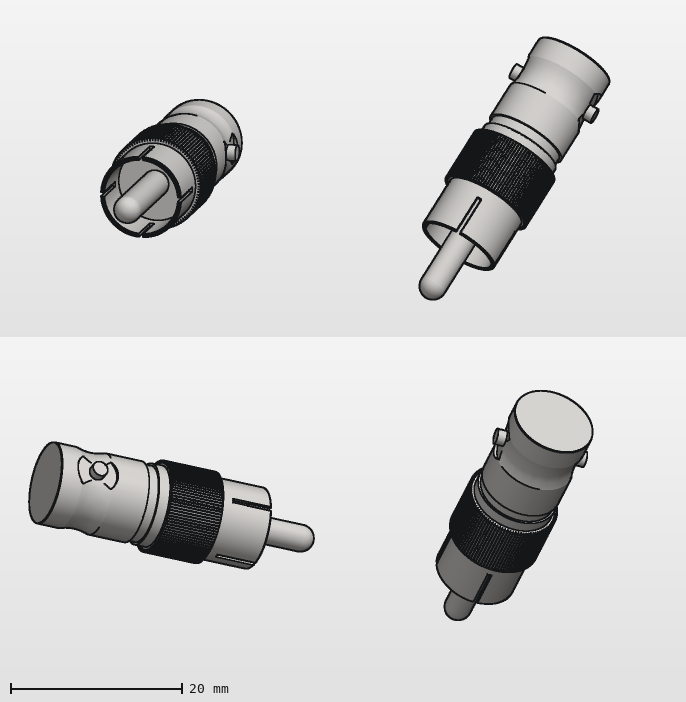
import cadquery as cq
import math

total_length = 34.01
lug_span = 11.07
knurl_diameter = 10.97

body_radius = 4.87
neck_radius = 4.58
rear_chamfer_length = 0.12
rear_chamfer_drop = 0.05
sleeve_chamfer = 0.12

waist_start = 2.78
waist_end = 6.6
waist_radius = 4.55
waist_center = (waist_start + waist_end) / 2
waist_half_length = (waist_end - waist_start) / 2

lug_count = 2
lug_station = 4.64
lug_radius = 0.93
lug_flat_radius = 2.55
lug_flat_distance = 4.45

neck_start = 11.12
neck_end = 12.42
knurl_start = 13.77
knurl_end = 20.3
knurl_radius = knurl_diameter / 2
groove_count = 100
groove_width = 0.08
groove_depth = 0.3

sleeve_end = 26.67
sleeve_inner_radius = 4.45
sleeve_floor = knurl_end
slot_start = 21.77
slot_width = 0.52
slot_count = 4

pin_radius = 1.6
pin_straight_end = total_length - pin_radius


def section(station):
    """Workplane square to the axis at a station, with its normal towards the pin tip."""
    return cq.Workplane("XZ", origin=(0, -station, 0))


def around_axis(solid, count):
    """Equally spaced copies of a solid, turned about the Y axis."""
    copies = cq.Workplane("XY")
    for index in range(count):
        turned = solid.rotate((0, 0, 0), (0, 1, 0), index * 360 / count)
        copies = copies.add(turned.vals())
    return cq.Workplane(obj=cq.Compound.makeCompound(copies.vals()))


def make_body():
    """Turned outside shape from the rear face to the sleeve end, solid inside."""
    waist_drop = body_radius - waist_radius
    arc_radius = (waist_half_length**2 + waist_drop**2) / (2 * waist_drop)
    mid_offset = waist_half_length / 2
    mid_radius = waist_radius + arc_radius - math.sqrt(arc_radius**2 - mid_offset**2)
    profile = (
        cq.Workplane("XY")
        .moveTo(0, 0)
        .lineTo(body_radius - rear_chamfer_drop, 0)
        .lineTo(body_radius, -rear_chamfer_length)
        .lineTo(body_radius, -waist_start)
        .threePointArc((mid_radius, mid_offset - waist_center), (waist_radius, -waist_center))
        .threePointArc((mid_radius, -mid_offset - waist_center), (body_radius, -waist_end))
        .lineTo(body_radius, -neck_start)
        .lineTo(neck_radius, -neck_start)
        .lineTo(neck_radius, -neck_end)
        .lineTo(body_radius, -neck_end)
        .lineTo(body_radius, sleeve_chamfer - sleeve_end)
        .lineTo(body_radius - sleeve_chamfer, -sleeve_end)
        .lineTo(0, -sleeve_end)
        .close()
    )
    return profile.revolve(360, (0, 0, 0), (0, 1, 0))


def make_knurl():
    """Ring with straight narrow V grooves all around."""
    length = knurl_end - knurl_start
    ring = section(knurl_start).circle(knurl_radius).extrude(length)
    groove = (
        section(knurl_start)
        .moveTo(-groove_width / 2, knurl_radius)
        .lineTo(0, knurl_radius - groove_depth)
        .lineTo(groove_width / 2, knurl_radius)
        .close()
        .extrude(length)
    )
    return ring.cut(around_axis(groove, groove_count))


def make_sleeve_bore():
    """Plug cavity with a chamfered mouth."""
    profile = (
        cq.Workplane("XY")
        .moveTo(0, -sleeve_floor)
        .lineTo(sleeve_inner_radius, -sleeve_floor)
        .lineTo(sleeve_inner_radius, sleeve_chamfer - sleeve_end)
        .lineTo(sleeve_inner_radius + sleeve_chamfer, -sleeve_end)
        .lineTo(0, -sleeve_end)
        .close()
    )
    return profile.revolve(360, (0, 0, 0), (0, 1, 0))


def make_sleeve_slots():
    """Slots through the sleeve wall, open at the sleeve end and stopping clear of the pin."""
    slot = (
        section(slot_start)
        .center(0, body_radius)
        .rect(slot_width, body_radius - pin_radius)
        .extrude(sleeve_end - slot_start)
    )
    return around_axis(slot, slot_count)


def make_pin():
    """Center pin rising from the sleeve floor."""
    profile = (
        cq.Workplane("XY")
        .moveTo(0, -sleeve_floor)
        .lineTo(pin_radius, -sleeve_floor)
        .lineTo(pin_radius, -pin_straight_end)
        .radiusArc((0, -total_length), pin_radius)
        .close()
    )
    return profile.revolve(360, (0, 0, 0), (0, 1, 0))


def cross_cylinder(radius, start, end):
    """Cylinder along +X at the lug station, between two distances from the axis."""
    return (
        cq.Workplane("YZ", origin=(start, -lug_station, 0))
        .circle(radius)
        .extrude(end - start)
    )


def add_lugs(body):
    """Two opposite bayonet lugs, each standing on a round flat."""
    flat_cutter = cross_cylinder(lug_flat_radius, lug_flat_distance, body_radius)
    lug = cross_cylinder(lug_radius, 0, lug_span / 2)
    return body.cut(around_axis(flat_cutter, lug_count)).union(around_axis(lug, lug_count))


shell = make_body().union(make_knurl())
socket = shell.cut(make_sleeve_bore()).cut(make_sleeve_slots())
result = add_lugs(socket.union(make_pin())).solids()